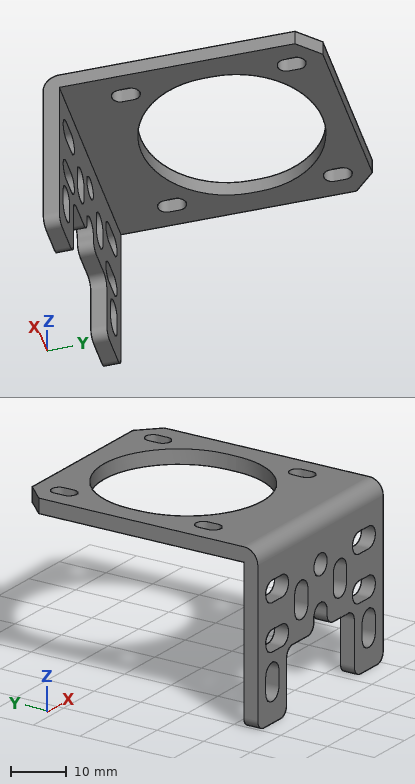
import cadquery as cq

width = 41.3
depth = 51.0
height = 35.0
thickness = 3.0

plate_chamfer = 4.1
motor_center_y = 29.45
motor_bolt_spacing = 30.9
motor_slot_width = 3.15
motor_slot_length = 5.25
pilot_width = 32.05
pilot_length = 33.85

grid_span = 12.7
pitch = grid_span / 4
hole_diameter = 4.35
slot_length = hole_diameter + pitch
outer_slot_x = 4.5 * pitch
inner_slot_x = 2 * pitch
leg_slot_x = 5 * pitch
upper_row_z = -3 * pitch
middle_row_z = -4.5 * pitch
lower_row_z = -6 * pitch
leg_row_z = -8.5 * pitch

leg_width = 3 * pitch
cutout_top_z = -22.0
corner_radius = 2.0

HORIZONTAL = 0
VERTICAL = 90


def bent_sheet():
    """Right-angle sheet with a rounded outer bend and a sharp inner corner."""
    blank = cq.Workplane("XY").box(width, depth, height, centered=(True, False, False))
    blank = blank.translate((0, 0, -height))
    hollow = (
        cq.Workplane("XY")
        .box(width, depth, height, centered=(True, False, False))
        .translate((0, thickness, -height - thickness))
    )
    sheet = blank.cut(hollow)
    sheet = sheet.edges("|X").edges("<Y and >Z").fillet(thickness)
    return sheet.edges("|Z and >Y").chamfer(plate_chamfer)


def top_plate_slots(points, length, slot_width):
    """Cutter for slots along Y through the top plate."""
    return (
        cq.Workplane("XY")
        .pushPoints(points)
        .slot2D(length, slot_width, VERTICAL)
        .extrude(-thickness)
    )


def front_plate_slots(points, angle):
    """Cutter for slots through the front plate; points are (X, Z)."""
    return (
        cq.Workplane("XZ")
        .pushPoints(points)
        .slot2D(slot_length, hole_diameter, angle)
        .extrude(-thickness)
    )


def leg_cutout():
    """Cutter that leaves two legs, with a round-topped notch at its centre."""
    opening_width = width - 2 * leg_width
    opening_height = height + cutout_top_z
    notch_radius = hole_diameter / 2
    opening = (
        cq.Workplane("XZ")
        .center(0, cutout_top_z - opening_height / 2)
        .rect(opening_width, opening_height)
        .extrude(-thickness)
    )
    notch = (
        cq.Workplane("XZ")
        .moveTo(-notch_radius, cutout_top_z)
        .lineTo(-notch_radius, lower_row_z)
        .threePointArc((0, lower_row_z + notch_radius), (notch_radius, lower_row_z))
        .lineTo(notch_radius, cutout_top_z)
        .close()
        .extrude(-thickness)
    )
    return opening.union(notch)


def round_leg_corners(body):
    """Round the leg ends, the cutout corners and the mouth of the notch."""
    leg_inner_x = width / 2 - leg_width
    edge_y = thickness / 2
    corner_points = []
    for side in (-1, 1):
        corner_points += [
            (side * width / 2, edge_y, -height),
            (side * leg_inner_x, edge_y, -height),
            (side * leg_inner_x, edge_y, cutout_top_z),
            (side * hole_diameter / 2, edge_y, cutout_top_z),
        ]
    corners = cq.Workplane("XY")
    for point in corner_points:
        edge = body.edges("|Y").edges(cq.NearestToPointSelector(point))
        corners = corners.add(edge)
    return body.newObject(corners.vals()).fillet(corner_radius)


def mirrored(x, z):
    """Pair of points on either side of the centre plane."""
    return [(-x, z), (x, z)]


bracket = round_leg_corners(bent_sheet().cut(leg_cutout()))

half_spacing = motor_bolt_spacing / 2
bolt_points = [
    (x, motor_center_y + y)
    for x in (-half_spacing, half_spacing)
    for y in (-half_spacing, half_spacing)
]
bracket = bracket.cut(top_plate_slots([(0, motor_center_y)], pilot_length, pilot_width))
bracket = bracket.cut(top_plate_slots(bolt_points, motor_slot_length, motor_slot_width))

horizontal_points = mirrored(outer_slot_x, upper_row_z) + mirrored(outer_slot_x, lower_row_z)
vertical_points = mirrored(inner_slot_x, middle_row_z) + mirrored(leg_slot_x, leg_row_z)
bracket = bracket.cut(front_plate_slots(horizontal_points, HORIZONTAL))
bracket = bracket.cut(front_plate_slots(vertical_points, VERTICAL))
center_hole = (
    cq.Workplane("XZ")
    .center(0, upper_row_z)
    .circle(hole_diameter / 2)
    .extrude(-thickness)
)

result = bracket.cut(center_hole)